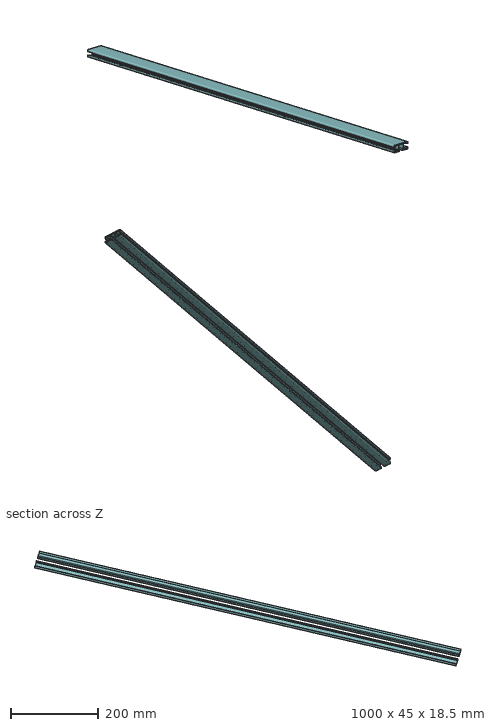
import cadquery as cq

length = 1000.0
width = 45.0
height = 18.5

plate_thickness = 2.75
web_outer_y = 8.25
web_thickness = 1.75

slot_opening = 8.5
side_lip_depth = 4.5
bottom_lip_depth = 4.5

outer_corner_radius = 2.5
lip_edge_radius = 0.5

pick_margin = 0.05

half_width = width / 2
half_height = height / 2
half_opening = slot_opening / 2
web_inner_y = web_outer_y - web_thickness
cavity_half_height = half_height - plate_thickness
side_lip_inner_y = half_width - side_lip_depth
foot_top_z = bottom_lip_depth - half_height


def bar(y_min, y_max, z_min, z_max):
    """Full-length rectangular bar along X, centred on X = 0."""
    block = cq.Workplane("XY").box(length, y_max - y_min, z_max - z_min, centered=(True, False, False))
    return block.translate((0, y_min, z_min))


def rounded_blank():
    """Outer block with its four long corners rounded."""
    blank = bar(-half_width, half_width, -half_height, half_height)
    return blank.edges("|X").fillet(outer_corner_radius)


def side_slot():
    """T-slot on the +Y side: a cavity beside the web and a narrower opening."""
    cavity = bar(web_outer_y, side_lip_inner_y, -cavity_half_height, cavity_half_height)
    opening = bar(web_outer_y, half_width, -half_opening, half_opening)
    return cavity.union(opening)


def bottom_slot():
    """T-slot in the underside: a cavity between the webs and a narrower opening."""
    cavity = bar(-web_inner_y, web_inner_y, foot_top_z, cavity_half_height)
    opening = bar(-half_opening, half_opening, -half_height, foot_top_z)
    return cavity.union(opening)


def long_edge_at(y, z):
    """Selector for the edge that runs along X at the given place in the section."""
    return cq.selectors.BoxSelector(
        (-length, y - pick_margin, z - pick_margin),
        (length, y + pick_margin, z + pick_margin),
    )


def round_lip_edges(body):
    """Round the outer and inner edges of every slot lip."""
    for side in (-1, 1):
        lip_edges = [
            (side * half_opening, -half_height),
            (side * half_opening, foot_top_z),
        ]
        for level in (-1, 1):
            lip_edges.append((side * half_width, level * half_opening))
            lip_edges.append((side * side_lip_inner_y, level * half_opening))
        for y, z in lip_edges:
            body = body.edges(long_edge_at(y, z)).fillet(lip_edge_radius)
    return body


right_slot = side_slot()
left_slot = right_slot.mirror("XZ")
profile = rounded_blank().cut(right_slot).cut(left_slot).cut(bottom_slot())
result = round_lip_edges(profile)